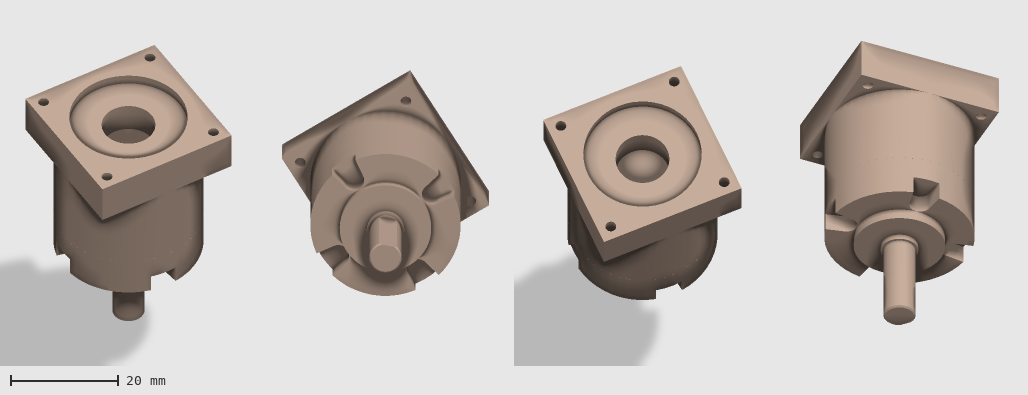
import cadquery as cq
import math


total_height = 50.5
body_width = 28.0

flange_height = 8.0
pilot_diameter = 22.0
pilot_depth = 2.0
bore_diameter = 10.0
flange_hole_diameter = 2.0
flange_hole_spacing = 23.05

ring_height = 16.0

head_height = flange_height
boss_diameter = 17.0
boss_height = 2.0
collar_diameter = 7.0
collar_height = 1.0
shaft_diameter = 6.0
shaft_length = total_height - flange_height - ring_height - head_height - boss_height - collar_height
tip_chamfer = 0.3
flat_offset = 2.45
flat_start_gap = 0.45

slot_count = 4
slot_end_radius = 2.0
slot_flare = 10.0
slot_height = 3.55
slot_center_radius = 10.6

head_turn = -2.75
flat_angle = 135.0

ring_bottom = head_height
flange_bottom = ring_bottom + ring_height
boss_bottom = -boss_height
collar_bottom = boss_bottom - collar_height
shaft_tip = collar_bottom - shaft_length


def disc(diameter, bottom, height):
    """Solid cylinder on the gearbox axis."""
    return cq.Workplane("XY").workplane(offset=bottom).circle(diameter / 2).extrude(height)


def make_input_flange():
    """Square plate with a motor pilot recess, a through bore and four corner holes."""
    plate = (
        cq.Workplane("XY")
        .workplane(offset=flange_bottom)
        .rect(body_width, body_width)
        .extrude(flange_height)
    )
    pilot = disc(pilot_diameter, flange_bottom + flange_height - pilot_depth, pilot_depth)
    bore = disc(bore_diameter, flange_bottom, flange_height)
    corner_holes = (
        cq.Workplane("XY")
        .workplane(offset=flange_bottom)
        .rect(flange_hole_spacing, flange_hole_spacing, forConstruction=True)
        .vertices()
        .circle(flange_hole_diameter / 2)
        .extrude(flange_height)
    )
    return plate.cut(pilot).cut(bore).cut(corner_holes)


def make_gear_ring():
    """Plain round body between the flange and the output head."""
    return disc(body_width, ring_bottom, ring_height)


def make_screw_slot(angle):
    """Cutter for one slot: a round inner end with tangent walls that flare out to the rim."""
    flare = math.radians(slot_flare)
    tangent_x = slot_center_radius - slot_end_radius * math.sin(flare)
    tangent_y = slot_end_radius * math.cos(flare)
    mouth_x = body_width / 2 + slot_end_radius
    mouth_y = tangent_y + (mouth_x - tangent_x) * math.tan(flare)
    slot = (
        cq.Workplane("XY")
        .moveTo(mouth_x, mouth_y)
        .lineTo(tangent_x, tangent_y)
        .threePointArc((slot_center_radius - slot_end_radius, 0), (tangent_x, -tangent_y))
        .lineTo(mouth_x, -mouth_y)
        .close()
        .extrude(slot_height)
    )
    return slot.rotate((0, 0, 0), (0, 0, 1), angle)


def make_d_shaft():
    """Round shaft with a chamfered tip and one flat that runs out at the tip."""
    shaft = disc(shaft_diameter, shaft_tip, shaft_length).faces("<Z").chamfer(tip_chamfer)
    flat_cut = (
        cq.Workplane("XY")
        .workplane(offset=shaft_tip)
        .center(flat_offset + shaft_diameter / 2, 0)
        .rect(shaft_diameter, shaft_diameter)
        .extrude(shaft_length - flat_start_gap)
        .rotate((0, 0, 0), (0, 0, 1), flat_angle)
    )
    return shaft.cut(flat_cut)


def make_output_head():
    """Slotted round head in one piece with its boss, collar and D-shaft."""
    head = disc(body_width, 0, head_height)
    for index in range(slot_count):
        head = head.cut(make_screw_slot(index * 360 / slot_count))
    boss = disc(boss_diameter, boss_bottom, boss_height)
    collar = disc(collar_diameter, collar_bottom, collar_height)
    head = head.union(boss).union(collar).union(make_d_shaft())
    return head.rotate((0, 0, 0), (0, 0, 1), head_turn)


input_flange = make_input_flange()
gear_ring = make_gear_ring()
output_head = make_output_head()

result = cq.Compound.makeCompound([input_flange.val(), gear_ring.val(), output_head.val()])